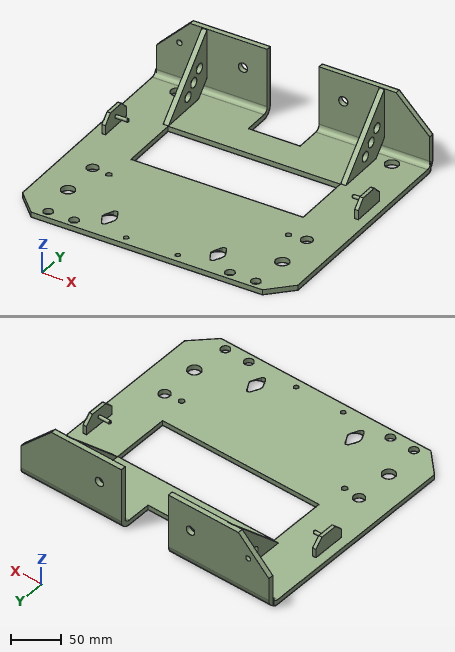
import cadquery as cq
import math

width = 320.0
depth = 283.0
height = 80.0
thickness = 6.0
bend_radius = thickness
wall_face = depth - thickness
overcut = 3.2

plate_chamfer = 25.5
window_width = 200.0
window_length = 70.0
window_rear = depth - 79.7
notch_width = 60.0
notch_depth = 41.5

corner_hole_x = 124.5
corner_hole_diameter = 15.0
edge_hole_y = 10.0
edge_hole_diameter = 10.5
pilot_diameter = 5.5
plate_holes = [
    (corner_hole_x, 261.0, corner_hole_diameter),
    (corner_hole_x, 53.8, corner_hole_diameter),
    (corner_hole_x, 100.0, 12.8),
    (104.3, 98.2, 6.5),
    (120.5, edge_hole_y, edge_hole_diameter),
    (90.5, edge_hole_y, edge_hole_diameter),
    (30.0, edge_hole_y, pilot_diameter),
]

slot_x = 63.0
slot_y = 32.3
slot_length = 26.2
slot_middle_radius = 7.5
slot_end_radius = 3.0
sink_radius = slot_length / 2

wall_inset = 1.3
wall_chamfer = 39.0
wall_hole_x = 58.2
wall_hole_z = 48.5
wall_hole_diameter = 10.5
small_hole_x = -132.0
small_hole_z = 52.8
small_hole_diameter = 6.0

gusset_leg = 73.0
gusset_relief = 16.0
gusset_inner_x = window_width / 2
gusset_hole_diameter = 11.2
gusset_hole_pitch = 11.0
gusset_hole_forward = 25.0
gusset_hole_rise = 24.3

tab_x = 147.0
tab_y = depth - 105.3
tab_thickness = 4.0
tab_length = 40.0
tab_height = 20.5
tab_chamfer = 9.5
pin_diameter = 4.0
pin_length = 14.7
pin_chamfer = 1.0
pin_rise = 10.5


def bent_sheet():
    """L-shaped sheet with concentric inner and outer bend arcs."""
    outer_radius = bend_radius + thickness
    bend_y = depth - outer_radius
    bend_z = outer_radius
    diagonal = math.sqrt(0.5)
    return (
        cq.Workplane("YZ", origin=(-width / 2, 0, 0))
        .lineTo(bend_y, 0)
        .threePointArc(
            (bend_y + outer_radius * diagonal, bend_z - outer_radius * diagonal),
            (depth, bend_z),
        )
        .lineTo(depth, height)
        .lineTo(wall_face, height)
        .lineTo(wall_face, bend_z)
        .threePointArc(
            (bend_y + bend_radius * diagonal, bend_z - bend_radius * diagonal),
            (bend_y, thickness),
        )
        .lineTo(0, thickness)
        .close()
        .extrude(width)
    )


def trim_outline(body):
    """Chamfer the front corners, narrow the wall and chamfer its top corners."""
    body = body.edges("|Z and <Y").chamfer(plate_chamfer)
    for side in (-1, 1):
        strip = cq.Workplane().box(2 * wall_inset, 2 * thickness, 2 * height)
        body = body.cut(strip.translate((side * width / 2, depth, height)))
    return body.edges("|Y and >Z").chamfer(wall_chamfer)


def slot_outline(x):
    """Middle and end arcs joined by their common tangent lines."""
    end_offset = slot_length / 2 - slot_end_radius
    lean = math.asin((slot_middle_radius - slot_end_radius) / end_offset)
    middle_x = slot_middle_radius * math.cos(lean)
    middle_y = slot_middle_radius * math.sin(lean)
    end_x = slot_end_radius * math.cos(lean)
    end_y = end_offset + slot_end_radius * math.sin(lean)
    return (
        cq.Workplane("XY", origin=(x, slot_y, 0))
        .moveTo(middle_x, -middle_y)
        .threePointArc((slot_middle_radius, 0), (middle_x, middle_y))
        .lineTo(end_x, end_y)
        .threePointArc((0, slot_length / 2), (-end_x, end_y))
        .lineTo(-middle_x, middle_y)
        .threePointArc((-slot_middle_radius, 0), (-middle_x, -middle_y))
        .lineTo(-end_x, -end_y)
        .threePointArc((0, -slot_length / 2), (end_x, -end_y))
        .close()
    )


def cut_plate_openings(body):
    """Window, rear notch, round holes and countersunk tapered slots."""
    window = cq.Workplane().center(0, window_rear - window_length / 2).rect(window_width, window_length)
    body = body.cut(window.extrude(thickness))
    notch = cq.Workplane().center(0, depth).rect(notch_width, 2 * notch_depth)
    body = body.cut(notch.extrude(height))
    for side in (-1, 1):
        for x, y, diameter in plate_holes:
            hole = cq.Workplane().center(side * x, y).circle(diameter / 2)
            body = body.cut(hole.extrude(thickness))
        body = body.cut(slot_outline(side * slot_x).extrude(thickness))
        countersink = cq.Solid.makeCone(sink_radius, slot_middle_radius, thickness)
        body = body.cut(cq.Workplane(countersink).translate((side * slot_x, slot_y, 0)))
    return body


def cut_wall_holes(body):
    """A matching pair of holes and one small hole on the left side only."""
    wall_holes = [
        (-wall_hole_x, wall_hole_z, wall_hole_diameter),
        (wall_hole_x, wall_hole_z, wall_hole_diameter),
        (small_hole_x, small_hole_z, small_hole_diameter),
    ]
    for x, z, diameter in wall_holes:
        drill = cq.Workplane("XZ", origin=(x, depth + overcut, z)).circle(diameter / 2)
        body = body.cut(drill.extrude(thickness + 2 * overcut))
    return body


def gusset(side):
    """Triangular rib with a corner relief and three holes along its slope."""
    start_x = min(side * gusset_inner_x, side * (gusset_inner_x + thickness))
    plane = cq.Workplane("YZ", origin=(start_x, wall_face, thickness))
    rib = (
        plane.moveTo(-gusset_relief, 0)
        .lineTo(-gusset_leg, 0)
        .lineTo(0, gusset_leg)
        .lineTo(0, gusset_relief)
        .close()
        .extrude(thickness)
    )
    centres = [
        (-gusset_hole_forward + step * gusset_hole_pitch, gusset_hole_rise + step * gusset_hole_pitch)
        for step in (-1, 0, 1)
    ]
    holes = plane.pushPoints(centres).circle(gusset_hole_diameter / 2).extrude(thickness)
    return rib.cut(holes)


def tab(side):
    """Upright tab with chamfered top corners and a pin pointing inward."""
    upright = (
        cq.Workplane()
        .box(tab_thickness, tab_length, tab_height, centered=(True, True, False))
        .edges("|X and >Z")
        .chamfer(tab_chamfer)
    )
    tip = "<X" if side > 0 else ">X"
    pin = (
        cq.Workplane("YZ", origin=(0, 0, pin_rise))
        .circle(pin_diameter / 2)
        .extrude(-side * (tab_thickness / 2 + pin_length))
        .faces(tip)
        .chamfer(pin_chamfer)
    )
    return upright.union(pin).translate((side * tab_x, tab_y, thickness))


result = cut_wall_holes(cut_plate_openings(trim_outline(bent_sheet())))
for side in (-1, 1):
    result = result.union(gusset(side)).union(tab(side))